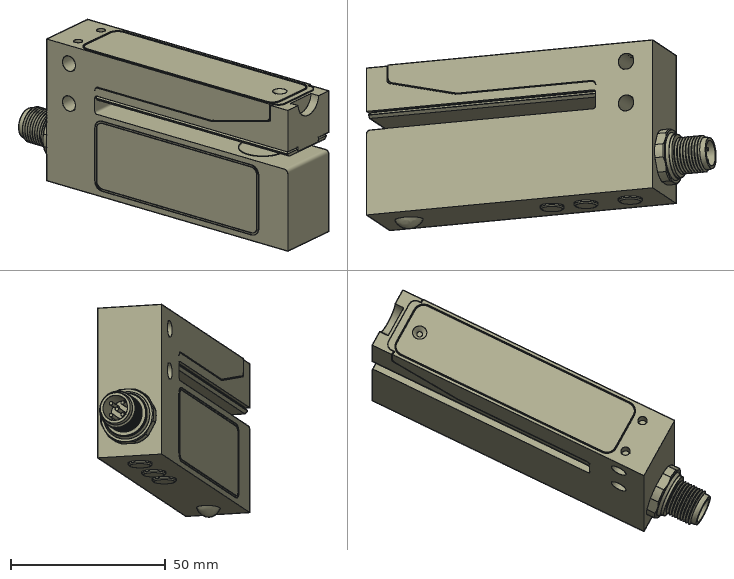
import cadquery as cq
import math

TOTAL_LENGTH = 114.8
WIDTH = 21.6
HEIGHT = 49.4
CONNECTOR_LENGTH = 16.0
LENGTH = TOTAL_LENGTH - CONNECTOR_LENGTH
FRONT_Y = -WIDTH / 2
CUT_MARGIN = 1.1

SLOT_START = 19.8
SLOT_FLOOR = 28.3
SLOT_ROOF = 34.6
SLOT_CORNER_RADIUS = 0.9
LOWER_ARM_RADIUS = 1.4

PLATE_BOTTOM = 32.5
PLATE_INSET = 0.6
PLATE_CHAMFER = 0.9
PLATE_TOP_CHAMFER = 0.8
PLATE_TOP = 34.3

LIP_DROP = 1.5
LIP_WIDTH = 10.8

SEAM_WIDTH = 0.3
SEAM_LOW_Z = 37.4
SEAM_RAMP_START = 67.6
SEAM_RAMP_TOP_Z = 43.4
SEAM_X = 91.8
SEAM_CORNER_RADIUS = 1.1

TONGUE_END = 94.8
TONGUE_WIDTH = 19.1
TONGUE_RADIUS = 2.3
COVER_DROP = 0.3
SEAM_DEPTH = (WIDTH - TONGUE_WIDTH) / 2

LABEL_GROOVE_DEPTH = 0.2
TOP_LABEL_START = 12.4
TOP_LABEL_END = 92.5
TOP_LABEL_WIDTH = 19.5
TOP_LABEL_RADIUS = 3.5
TOP_LABEL_GAP = 0.3
SIDE_LABEL_START = 19.8
SIDE_LABEL_END = 86.8
SIDE_LABEL_BOTTOM = 2.0
SIDE_LABEL_TOP = 26.3
SIDE_LABEL_RADIUS = 3.0
SIDE_LABEL_GAP = 0.7

MOUNT_HOLE_X = 9.2
MOUNT_HOLE_HEIGHTS = (29.2, 43.1)
MOUNT_HOLE_DIAMETER = 5.3
TOP_HOLE_OFFSET = 6.0
TOP_HOLE_DIAMETER = 2.9
TOP_HOLE_DEPTH = 3.5
SCREW_X = 87.2
SCREW_TOP_RADIUS = 2.3
SCREW_NECK_RADIUS = 1.4
SCREW_NECK_DEPTH = 0.9
SCREW_FLOOR_RADIUS = 0.9
SCREW_DEPTH = 1.5

NOTCH_START = 95.8
NOTCH_RADIUS = 5.4

WINDOW_X = 80.2
WINDOW_RADIUS = 7.8
WINDOW_DEPTH = 0.2

BUTTON_POSITIONS = (11.8, 27.1, 38.8)
BUTTON_RADIUS = 3.9
BUTTON_HEIGHT = 0.9
BUTTON_CHAMFER = 0.5
DOME_X = 88.2
DOME_RADIUS = 4.7
DOME_WIDTH_RATIO = 0.8
DOME_HEIGHT = 2.9

CONNECTOR_Z = 12.7
NUT_FLATS = 17.3
NUT_ROUND_DIAMETER = 18.0
NUT_LENGTH = 3.2
NUT_CHAMFER = 0.3
COLLAR_RADIUS = 7.0
COLLAR_CONE_RADIUS = 7.8
COLLAR_CONE_START = 4.2
COLLAR_STEP = 0.2
COLLAR_END = 5.2
THREAD_ROOT_RADIUS = 5.3
THREAD_CREST_RADIUS = 6.0
THREAD_PITCH = 1.0
THREAD_COUNT = 9
TIP_TAPER_LENGTH = 0.9
TIP_TAPER = 0.2
SOCKET_RADIUS = 4.1
SOCKET_DEPTH = 9.2
PIN_RADIUS = 0.6
PIN_OFFSET = 2.0
PIN_SETBACK = 1.7


def box(x_start, x_end, width, z_start, z_end):
    """Block centred on the symmetry plane."""
    block = cq.Workplane("XY").box(x_end - x_start, width, z_end - z_start, centered=(False, True, False))
    return block.translate((x_start, 0, z_start))


def rounded_groove(long_side, short_side, radius, gap):
    """Groove along the edge of a rounded rectangle, lying on z = 0 and cut downwards."""
    outer = cq.Workplane("XY").rect(long_side, short_side).extrude(-LABEL_GROOVE_DEPTH)
    inner = cq.Workplane("XY").rect(long_side - 2 * gap, short_side - 2 * gap).extrude(-LABEL_GROOVE_DEPTH)
    return outer.edges("|Z").fillet(radius).cut(inner.edges("|Z").fillet(radius - gap))


def housing():
    """Block with the fork slot, its lower arm rounded at the free end."""
    body = box(0, LENGTH, WIDTH, 0, HEIGHT)
    slot = box(SLOT_START, LENGTH + CUT_MARGIN, WIDTH + 2 * CUT_MARGIN, SLOT_FLOOR, SLOT_ROOF)
    slot = slot.edges("|Y and <X").fillet(SLOT_CORNER_RADIUS)
    body = body.cut(slot)
    arm_tip = cq.selectors.NearestToPointSelector((LENGTH, 0, SLOT_FLOOR))
    return body.edges("|Y").edges(arm_tip).fillet(LOWER_ARM_RADIUS)


def wear_plate():
    """Plate under the upper arm, chamfered above and below, joined to the arm by a narrower neck."""
    plate_end = LENGTH - PLATE_INSET
    plate = box(SLOT_START, plate_end, WIDTH - 2 * PLATE_INSET, PLATE_BOTTOM, PLATE_TOP)
    plate = plate.faces("<Z").edges("|X").chamfer(PLATE_CHAMFER)
    plate = plate.faces(">Z").edges("|X or >X").chamfer(PLATE_TOP_CHAMFER)
    neck_inset = PLATE_INSET + PLATE_TOP_CHAMFER
    neck = box(SLOT_START, LENGTH - neck_inset, WIDTH - 2 * neck_inset, PLATE_TOP, SLOT_ROOF)
    return plate.union(neck)


def end_lip():
    """Wedge hanging from the free end of the upper arm, over the end of the wear plate."""
    profile = cq.Workplane("XZ").moveTo(LENGTH, SLOT_ROOF).lineTo(LENGTH, SLOT_ROOF - LIP_DROP)
    return profile.lineTo(LENGTH - LIP_DROP, SLOT_ROOF).close().extrude(LIP_WIDTH / 2, both=True)


def cover_seam():
    """Narrow groove in both sides of the upper arm, and the lowered top of the cover beyond it."""
    def cover_side(grow):
        ramp_angle = math.atan2(SEAM_RAMP_TOP_Z - SEAM_LOW_Z, SEAM_X - SEAM_RAMP_START)
        ramp_shift = grow * math.tan(ramp_angle / 2)
        rise = SEAM_X - grow - (SEAM_RAMP_START - ramp_shift)
        corner_z = SEAM_LOW_Z + grow + rise * math.tan(ramp_angle)
        profile = (
            cq.Workplane("XZ")
            .moveTo(SLOT_START, SLOT_ROOF)
            .lineTo(SLOT_START, SEAM_LOW_Z + grow)
            .lineTo(SEAM_RAMP_START - ramp_shift, SEAM_LOW_Z + grow)
            .lineTo(SEAM_X - grow, corner_z)
            .lineTo(SEAM_X - grow, HEIGHT)
            .lineTo(LENGTH, HEIGHT)
            .lineTo(LENGTH, SLOT_ROOF)
            .close()
            .extrude(WIDTH / 2, both=True)
        )
        inner_corner = cq.selectors.NearestToPointSelector((SEAM_X - grow, 0, corner_z))
        slot_corner = cq.selectors.NearestToPointSelector((SLOT_START, 0, SEAM_LOW_Z + grow))
        profile = profile.edges("|Y").edges(inner_corner).fillet(SEAM_CORNER_RADIUS + grow)
        return profile.edges("|Y").edges(slot_corner).fillet(SEAM_CORNER_RADIUS + grow)

    core = box(0, LENGTH, WIDTH - 2 * SEAM_DEPTH, 0, HEIGHT)
    groove = cover_side(SEAM_WIDTH).cut(cover_side(0)).cut(core)
    tongue = box(0, TONGUE_END, TONGUE_WIDTH, 0, HEIGHT).edges("|Z and >X").fillet(TONGUE_RADIUS)
    lowered_top = box(SEAM_X, LENGTH, WIDTH, HEIGHT - COVER_DROP, HEIGHT).cut(tongue)
    return groove.union(lowered_top)


def label_grooves():
    """Label outlines on the top and on the front of the lower arm."""
    top = rounded_groove(TOP_LABEL_END - TOP_LABEL_START, TOP_LABEL_WIDTH, TOP_LABEL_RADIUS, TOP_LABEL_GAP)
    top = top.translate(((TOP_LABEL_START + TOP_LABEL_END) / 2, 0, HEIGHT))
    side = rounded_groove(
        SIDE_LABEL_END - SIDE_LABEL_START,
        SIDE_LABEL_TOP - SIDE_LABEL_BOTTOM,
        SIDE_LABEL_RADIUS,
        SIDE_LABEL_GAP,
    )
    side = side.rotate((0, 0, 0), (1, 0, 0), 90).translate(
        ((SIDE_LABEL_START + SIDE_LABEL_END) / 2, FRONT_Y, (SIDE_LABEL_BOTTOM + SIDE_LABEL_TOP) / 2)
    )
    return top.union(side)


def holes():
    """Cross holes, blind top holes and the countersunk screw recess."""
    cross = (
        cq.Workplane("XZ")
        .pushPoints([(MOUNT_HOLE_X, z) for z in MOUNT_HOLE_HEIGHTS])
        .circle(MOUNT_HOLE_DIAMETER / 2)
        .extrude(WIDTH / 2 + CUT_MARGIN, both=True)
    )
    blind = (
        cq.Workplane("XY", origin=(0, 0, HEIGHT))
        .pushPoints([(MOUNT_HOLE_X, y) for y in (-TOP_HOLE_OFFSET, TOP_HOLE_OFFSET)])
        .circle(TOP_HOLE_DIAMETER / 2)
        .extrude(-TOP_HOLE_DEPTH)
    )
    screw = (
        cq.Workplane("XZ")
        .moveTo(0, 0)
        .lineTo(SCREW_TOP_RADIUS, 0)
        .lineTo(SCREW_NECK_RADIUS, -SCREW_NECK_DEPTH)
        .lineTo(SCREW_FLOOR_RADIUS, -SCREW_DEPTH)
        .lineTo(0, -SCREW_DEPTH)
        .close()
        .revolve(360, (0, 0, 0), (0, 1, 0))
        .translate((SCREW_X, 0, HEIGHT))
    )
    return cross.union(blind).union(screw)


def end_notch():
    """Half-round trough, along x, in the top of the free end."""
    notch = cq.Workplane("YZ", origin=(NOTCH_START, 0, HEIGHT)).circle(NOTCH_RADIUS)
    return notch.extrude(LENGTH - NOTCH_START + CUT_MARGIN)


def lens_window():
    """Shallow round recess in the slot floor."""
    return cq.Workplane("XY", origin=(WINDOW_X, 0, SLOT_FLOOR)).circle(WINDOW_RADIUS).extrude(-WINDOW_DEPTH)


def underside_parts():
    """Three flat buttons and an oval dome below the housing."""
    buttons = (
        cq.Workplane("XY")
        .pushPoints([(x, 0) for x in BUTTON_POSITIONS])
        .circle(BUTTON_RADIUS)
        .extrude(-BUTTON_HEIGHT)
        .faces("<Z")
        .chamfer(BUTTON_CHAMFER)
    )
    sphere_radius = (DOME_RADIUS**2 + DOME_HEIGHT**2) / (2 * DOME_HEIGHT)
    sphere = cq.Workplane("XY").sphere(sphere_radius).translate((DOME_X, 0, sphere_radius - DOME_HEIGHT))
    below = box(DOME_X - sphere_radius, DOME_X + sphere_radius, 2 * sphere_radius, -DOME_HEIGHT, 0)
    round_dome = sphere.intersect(below).val()
    flatten = cq.Matrix([[1, 0, 0, 0], [0, DOME_WIDTH_RATIO, 0, 0], [0, 0, 1, 0]])
    return buttons.union(cq.Workplane(obj=round_dome.transformGeometry(flatten)))


def connector():
    """Nut, collar, threaded barrel and socket with pins, pointing along -x."""
    base = cq.Workplane("YZ", origin=(0, 0, CONNECTOR_Z))
    hexagon = base.polygon(6, NUT_FLATS / math.cos(math.pi / 6)).extrude(-NUT_LENGTH)
    blank = base.circle(NUT_ROUND_DIAMETER / 2).extrude(-NUT_LENGTH).faces("<X").chamfer(NUT_CHAMFER)
    nut = hexagon.intersect(blank)

    section = [
        (0, 0),
        (0, COLLAR_CONE_RADIUS),
        (NUT_LENGTH, COLLAR_CONE_RADIUS),
        (COLLAR_CONE_START, COLLAR_RADIUS + COLLAR_STEP),
        (COLLAR_CONE_START, COLLAR_RADIUS),
        (COLLAR_END, COLLAR_RADIUS),
        (COLLAR_END, THREAD_ROOT_RADIUS),
    ]
    for turn in range(THREAD_COUNT):
        section.append((COLLAR_END + (turn + 0.5) * THREAD_PITCH, THREAD_CREST_RADIUS))
        section.append((COLLAR_END + (turn + 1) * THREAD_PITCH, THREAD_ROOT_RADIUS))
    section += [
        (CONNECTOR_LENGTH - TIP_TAPER_LENGTH, THREAD_ROOT_RADIUS),
        (CONNECTOR_LENGTH, THREAD_ROOT_RADIUS - TIP_TAPER),
        (CONNECTOR_LENGTH, 0),
    ]
    barrel = cq.Workplane("XZ").polyline([(-x, r) for x, r in section]).close()
    barrel = barrel.revolve(360, (0, 0, 0), (1, 0, 0)).translate((0, 0, CONNECTOR_Z))

    socket_floor = base.workplane(offset=SOCKET_DEPTH - CONNECTOR_LENGTH)
    socket = socket_floor.circle(SOCKET_RADIUS).extrude(-SOCKET_DEPTH)
    pin_places = [(0, 0)] + [(y, z) for y in (-PIN_OFFSET, PIN_OFFSET) for z in (-PIN_OFFSET, PIN_OFFSET)]
    pins = socket_floor.pushPoints(pin_places).circle(PIN_RADIUS).extrude(PIN_SETBACK - SOCKET_DEPTH)
    return nut.union(barrel).cut(socket).union(pins)


result = housing().union(wear_plate()).union(end_lip())
for cutter in (cover_seam(), label_grooves(), holes(), end_notch(), lens_window()):
    result = result.cut(cutter)
result = result.union(underside_parts()).union(connector())